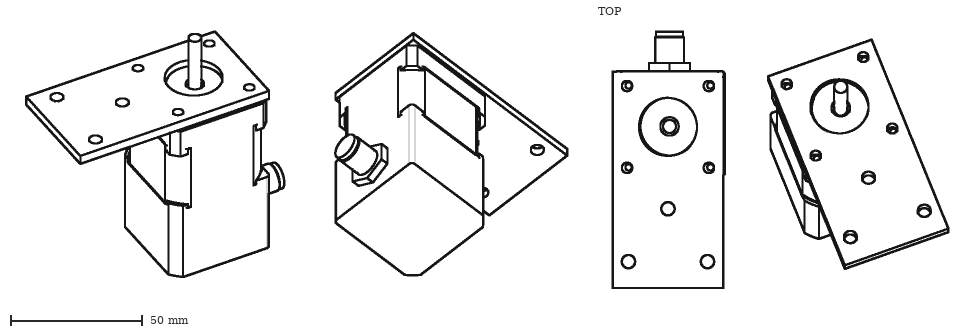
import cadquery as cq
import math


MOTOR_WIDTH = 42.0
HALF_WIDTH = MOTOR_WIDTH / 2
REAR_TOP = 34.2
REAR_CORNER_DIA = 53.9
REAR_FILLET = 1.6
CAP_BOTTOM = 58.4
CAP_TOP = 70.3
CAP_CHAMFER = 3.0
RECESS_DIA = 51.4
REAR_RECESS_DEPTH = 1.75
CAP_RECESS_DEPTH = 2.4

STATOR_WIDTH = 41.7
STATOR_FLAT = 27.2
STATOR_SHIFT = (MOTOR_WIDTH - STATOR_WIDTH) / 2

BOSS_DIA = 22.0
BOSS_HEIGHT = 1.9
BOSS_BORE_DIA = 7.0
SHAFT_DIA = 5.0
SHAFT_TOP = 94.4
SCREW_PITCH = 31.0
THREAD_DIA = 2.4
THREAD_DEPTH = 4.9
DRILL_POINT_ANGLE = 118

CONNECTOR_Z = 14.4
NUT_ACROSS_FLATS = 15.6
NUT_ACROSS_CORNERS = NUT_ACROSS_FLATS / math.cos(math.pi / 6)
NUT_LENGTH = 3.1
BARREL_DIA = 11.0
TIP_DIA = 10.4
CONNECTOR_LENGTH = 15.0
TIP_LENGTH = 1.9
CONE_LENGTH = 0.4
BARREL_LENGTH = CONNECTOR_LENGTH - NUT_LENGTH - CONE_LENGTH - TIP_LENGTH

PLATE_WIDTH = MOTOR_WIDTH
PLATE_LENGTH = 82.1
PLATE_THICKNESS = 3.9
PLATE_GAP = 0.6
PLATE_BOTTOM = CAP_TOP + PLATE_GAP
PLATE_SHIFT_X = -0.6
PLATE_SHIFT_Y = -0.2
PLATE_END_Y = PLATE_WIDTH / 2
PILOT_DIA = BOSS_DIA
SCREW_HOLE_DIA = 4.0
MOUNT_HOLE_DIA = 5.0
MIDDLE_HOLE_OFFSET = 31.0
END_HOLE_OFFSET = 51.1
END_HOLE_PITCH = 30.0


def cylinder(diameter, bottom, top):
    return cq.Workplane("XY", origin=(0, 0, bottom)).circle(diameter / 2).extrude(top - bottom)


def square_block(width, bottom, top):
    return cq.Workplane("XY", origin=(0, 0, bottom)).rect(width, width).extrude(top - bottom)


def make_rear_housing():
    block = square_block(MOTOR_WIDTH, 0, REAR_TOP).edges("|Z and >Y").fillet(REAR_FILLET)
    turned = cylinder(REAR_CORNER_DIA, 0, REAR_TOP)
    back_half = (
        cq.Workplane("XY", origin=(0, HALF_WIDTH / 2, 0))
        .rect(MOTOR_WIDTH, HALF_WIDTH)
        .extrude(REAR_TOP)
    )
    housing = block.intersect(turned.union(back_half))
    return housing.cut(cylinder(RECESS_DIA, REAR_TOP - REAR_RECESS_DEPTH, REAR_TOP))


def make_stator():
    bottom = REAR_TOP - REAR_RECESS_DEPTH
    top = CAP_BOTTOM + CAP_RECESS_DEPTH
    corner_dia = math.hypot(STATOR_WIDTH, STATOR_FLAT)
    stack = square_block(STATOR_WIDTH, bottom, top).intersect(cylinder(corner_dia, bottom, top))
    return stack.translate((STATOR_SHIFT, STATOR_SHIFT, 0))


def make_cap():
    cap = square_block(MOTOR_WIDTH, CAP_BOTTOM, CAP_TOP).edges("|Z").chamfer(CAP_CHAMFER)
    return cap.cut(cylinder(RECESS_DIA, CAP_BOTTOM, CAP_BOTTOM + CAP_RECESS_DEPTH))


def make_thread_holes():
    """Blind holes with a drill point, in a square pattern."""
    radius = THREAD_DIA / 2
    point_depth = radius / math.tan(math.radians(DRILL_POINT_ANGLE / 2))
    drill = (
        cq.Workplane("XZ")
        .polyline([(0, 0), (radius, 0), (radius, -THREAD_DEPTH), (0, -THREAD_DEPTH - point_depth)])
        .close()
        .revolve(360, (0, 0, 0), (0, 1, 0))
    )
    return (
        cq.Workplane("XY", origin=(0, 0, CAP_TOP))
        .rarray(SCREW_PITCH, SCREW_PITCH, 2, 2)
        .eachpoint(lambda spot: drill.val().moved(spot), combine=False)
    )


def make_connector():
    nut = (
        cq.Workplane("XZ", origin=(0, HALF_WIDTH, CONNECTOR_Z))
        .transformed(rotate=(0, 0, 90))
        .polygon(6, NUT_ACROSS_CORNERS)
        .extrude(-NUT_LENGTH)
    )
    barrel_start = HALF_WIDTH + NUT_LENGTH
    barrel_end = barrel_start + BARREL_LENGTH
    tip_start = barrel_end + CONE_LENGTH
    tip_end = tip_start + TIP_LENGTH
    barrel = (
        cq.Workplane("XY")
        .moveTo(0, barrel_start)
        .lineTo(BARREL_DIA / 2, barrel_start)
        .lineTo(BARREL_DIA / 2, barrel_end)
        .lineTo(TIP_DIA / 2, tip_start)
        .lineTo(TIP_DIA / 2, tip_end)
        .lineTo(0, tip_end)
        .close()
        .revolve(360, (0, 0, 0), (0, 1, 0))
        .translate((0, 0, CONNECTOR_Z))
    )
    return nut.union(barrel)


def make_boss():
    return cylinder(BOSS_DIA, CAP_TOP, CAP_TOP + BOSS_HEIGHT)


def make_motor():
    boss = make_boss().cut(cylinder(BOSS_BORE_DIA, CAP_TOP, CAP_TOP + BOSS_HEIGHT))
    shaft = cylinder(SHAFT_DIA, CAP_TOP, SHAFT_TOP)
    housing = make_rear_housing().union(make_stator()).union(make_cap())
    housing = housing.cut(make_thread_holes())
    return housing.union(boss).union(shaft).union(make_connector())


def make_plate():
    plate = (
        cq.Workplane("XY", origin=(0, PLATE_END_Y - PLATE_LENGTH / 2, 0))
        .rect(PLATE_WIDTH, PLATE_LENGTH)
        .extrude(PLATE_THICKNESS)
    )
    hole_plane = cq.Workplane("XY")
    pilot = hole_plane.circle(PILOT_DIA / 2).extrude(PLATE_THICKNESS)
    screw_holes = (
        hole_plane.rarray(SCREW_PITCH, SCREW_PITCH, 2, 2)
        .circle(SCREW_HOLE_DIA / 2)
        .extrude(PLATE_THICKNESS)
    )
    mount_spots = [
        (0, -MIDDLE_HOLE_OFFSET),
        (-END_HOLE_PITCH / 2, -END_HOLE_OFFSET),
        (END_HOLE_PITCH / 2, -END_HOLE_OFFSET),
    ]
    mount_holes = hole_plane.pushPoints(mount_spots).circle(MOUNT_HOLE_DIA / 2).extrude(PLATE_THICKNESS)
    plate = plate.cut(pilot).cut(screw_holes).cut(mount_holes)
    plate = plate.translate((PLATE_SHIFT_X, PLATE_SHIFT_Y, PLATE_BOTTOM))
    return plate.cut(make_boss())


motor = make_motor()
plate = make_plate()

result = cq.Compound.makeCompound([motor.val(), plate.val()])